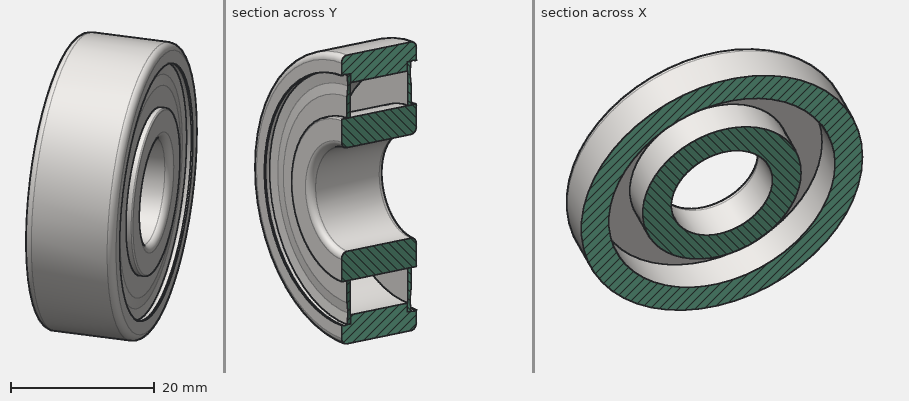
import cadquery as cq


WIDTH = 13.0
OUTER_DIAMETER = 42.0
BORE_DIAMETER = 15.0
CORNER_RADIUS = 1.0

OUTER_RING_BORE = 33.65
SHIELD_DIAMETER = 36.25
SHIELD_BORE = 23.7
SHIELD_INSET = 0.92
SHIELD_THICKNESS = 0.65

LIP_WIDTH = 0.25
LIP_GROOVE_DEPTH = 0.1

GROOVE_BOTTOM_DIAMETER = 32.95
GROOVE_INNER_DIAMETER = 29.9
GROOVE_DEPTH = 0.15

INNER_RING_EDGE_RADIUS = 0.2

HALF_WIDTH = WIDTH / 2
SHIELD_FACE = HALF_WIDTH - SHIELD_INSET
SHIELD_BACK = SHIELD_FACE - SHIELD_THICKNESS


def tube(outer_diameter, inner_diameter, length):
    """Plain ring around X, centred on the YZ plane."""
    return (
        cq.Workplane("YZ", origin=(-length / 2, 0, 0))
        .circle(outer_diameter / 2)
        .circle(inner_diameter / 2)
        .extrude(length)
    )


def make_lip_groove(side):
    """Cutter for the rounded groove between lip and shield, revolved around X."""
    lip_edge = side * (HALF_WIDTH - LIP_WIDTH)
    shield_edge = side * SHIELD_FACE
    seat_radius = SHIELD_DIAMETER / 2
    return (
        cq.Workplane("XY")
        .moveTo(lip_edge, SHIELD_BORE / 2)
        .lineTo(lip_edge, seat_radius)
        .threePointArc(
            ((lip_edge + shield_edge) / 2, seat_radius + LIP_GROOVE_DEPTH),
            (shield_edge, seat_radius),
        )
        .lineTo(shield_edge, SHIELD_BORE / 2)
        .close()
        .revolve(360, (0, 0, 0), (1, 0, 0))
    )


def make_outer_ring():
    """Outer ring with a shield seat and a rounded lip groove at each end."""
    ring = tube(OUTER_DIAMETER, OUTER_RING_BORE, WIDTH)
    outer_edges = cq.selectors.RadiusNthSelector(-1)
    ring = ring.edges("%CIRCLE").edges(outer_edges).fillet(CORNER_RADIUS)
    seats = tube(SHIELD_DIAMETER, SHIELD_BORE, WIDTH).cut(
        tube(SHIELD_DIAMETER, SHIELD_BORE, 2 * SHIELD_BACK)
    )
    ring = ring.cut(seats)
    for side in (-1, 1):
        ring = ring.cut(make_lip_groove(side))
    return ring


def make_inner_ring():
    """Inner ring with rounded bore edges and slightly eased outer edges."""
    ring = tube(SHIELD_BORE, BORE_DIAMETER, WIDTH)
    bore_edges = cq.selectors.RadiusNthSelector(0)
    outer_edges = cq.selectors.RadiusNthSelector(-1)
    ring = ring.edges("%CIRCLE").edges(bore_edges).fillet(CORNER_RADIUS)
    return ring.edges("%CIRCLE").edges(outer_edges).fillet(INNER_RING_EDGE_RADIUS)


def make_shield(side):
    """Annular shield at the end given by side (-1 or +1), revolved around X."""
    face = side * SHIELD_FACE
    back = side * SHIELD_BACK
    groove_bottom = side * (SHIELD_FACE - GROOVE_DEPTH)
    return (
        cq.Workplane("XY")
        .moveTo(back, SHIELD_BORE / 2)
        .lineTo(face, SHIELD_BORE / 2)
        .lineTo(face, GROOVE_INNER_DIAMETER / 2)
        .lineTo(groove_bottom, GROOVE_BOTTOM_DIAMETER / 2)
        .lineTo(face, SHIELD_DIAMETER / 2)
        .lineTo(back, SHIELD_DIAMETER / 2)
        .close()
        .revolve(360, (0, 0, 0), (1, 0, 0))
    )


outer_ring = make_outer_ring()
inner_ring = make_inner_ring()
shields = [make_shield(side) for side in (-1, 1)]

result = cq.Compound.makeCompound(
    [outer_ring.val(), inner_ring.val(), *[shield.val() for shield in shields]]
)